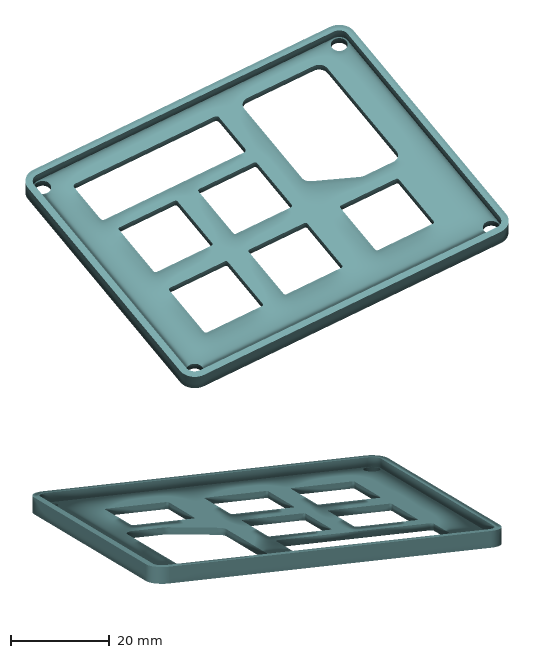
import cadquery as cq

WIDTH = 64.5
LENGTH = 78.0
HEIGHT = 3.5
CORNER_RADIUS = 3.5
WALL = 1.5
FLOOR = 1.5

SCREW_DIAMETER = 3.4

KEY_SIZE = 14.05
KEY_PITCH = 19.0
KEY_RADIUS = 0.5
LEFT_COLUMN_X = -4.45
RIGHT_COLUMN_X = LEFT_COLUMN_X + KEY_PITCH
MIDDLE_ROW_Y = -2.4
BOTTOM_ROW_Y = MIDDLE_ROW_Y - KEY_PITCH
SINGLE_KEY_Y = 19.5
KEY_CENTERS = [
    (LEFT_COLUMN_X, MIDDLE_ROW_Y),
    (RIGHT_COLUMN_X, MIDDLE_ROW_Y),
    (LEFT_COLUMN_X, BOTTOM_ROW_Y),
    (RIGHT_COLUMN_X, BOTTOM_ROW_Y),
    (RIGHT_COLUMN_X, SINGLE_KEY_Y),
]

SLOT_WIDTH = 11.2
SLOT_LENGTH = 34.7
SLOT_RADIUS = 0.7
SLOT_X = -20.4
SLOT_Y = MIDDLE_ROW_Y + KEY_SIZE / 2 - SLOT_LENGTH / 2

WINDOW_LEFT = -26.7
WINDOW_RIGHT = 3.4
WINDOW_TOP = 30.1
WINDOW_BOTTOM = 10.15
SLANT_WIDTH = 5.1
SLANT_HEIGHT = 10.5
WINDOW_RADIUS = 2.0


def rounded_block(width, length, height, radius):
    """Block standing on Z = 0, centred in X and Y, with rounded upright edges."""
    block = cq.Workplane("XY").box(width, length, height, centered=(True, True, False))
    return block.edges("|Z").fillet(radius)


def make_tray():
    """Shallow open-topped tray with a uniform rim."""
    outside = rounded_block(WIDTH, LENGTH, HEIGHT, CORNER_RADIUS)
    pocket = rounded_block(
        WIDTH - 2 * WALL, LENGTH - 2 * WALL, HEIGHT - FLOOR, CORNER_RADIUS - WALL
    )
    return outside.cut(pocket.translate((0, 0, FLOOR)))


def make_window():
    """Cutter for the five-sided window."""
    outline = [
        (WINDOW_LEFT, WINDOW_TOP),
        (WINDOW_RIGHT, WINDOW_TOP),
        (WINDOW_RIGHT, WINDOW_BOTTOM + SLANT_HEIGHT),
        (WINDOW_RIGHT - SLANT_WIDTH, WINDOW_BOTTOM),
        (WINDOW_LEFT, WINDOW_BOTTOM),
    ]
    window = cq.Workplane("XY").polyline(outline).close().extrude(FLOOR)
    return window.edges("|Z").fillet(WINDOW_RADIUS)


def make_screw_holes():
    """Cutters for the four corner screw holes."""
    return (
        cq.Workplane("XY")
        .rect(WIDTH - 2 * CORNER_RADIUS, LENGTH - 2 * CORNER_RADIUS, forConstruction=True)
        .vertices()
        .circle(SCREW_DIAMETER / 2)
        .extrude(FLOOR)
    )


result = make_tray().cut(make_screw_holes()).cut(make_window())

key_opening = rounded_block(KEY_SIZE, KEY_SIZE, FLOOR, KEY_RADIUS)
for key_x, key_y in KEY_CENTERS:
    result = result.cut(key_opening.translate((key_x, key_y, 0)))

slot = rounded_block(SLOT_WIDTH, SLOT_LENGTH, FLOOR, SLOT_RADIUS)
result = result.cut(slot.translate((SLOT_X, SLOT_Y, 0)))